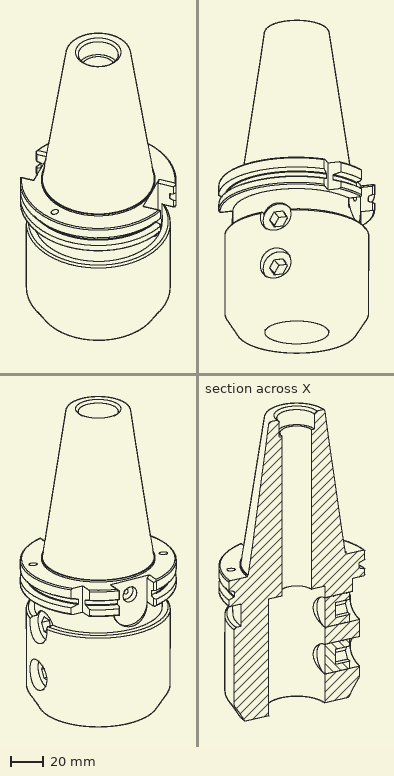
import cadquery as cq
import math


gauge_height = 100.0
taper_length = 101.6
total_height = gauge_height + taper_length

gauge_radius = 69.85 / 2
taper_ratio = 7 / 24
taper_top_radius = gauge_radius - taper_length * taper_ratio / 2
taper_top_fillet = 2.0
collar_radius = 35.5

flange_radius = 97.5 / 2
flange_top = 98.9
flange_bottom = gauge_height - 19.1
flange_chamfer = 0.8
groove_center = gauge_height - 11.1
groove_floor_radius = 44.7
groove_floor_height = 3.4
groove_floor_fillet = 0.5
groove_mouth_height = 6.2

neck_radius = 40.0
body_radius = 45.0
body_top = 66.0
body_top_chamfer = 1.3
nose_radius = 37.2
nose_cone_top = 12.5
nose_tip_fillet = 2.0
nose_cone_fillet = 3.0

shank_bore_radius = 20.0
shank_bore_depth = 80.0
coolant_bore_radius = 10.5
top_bore_radius = 12.5
top_bore_depth = 12.0
top_bore_chamfer = 1.7

slot_half_width = 12.5
slot_top_chamfer = 1.8
slot_rim_chamfer = 1.2
slot_arc_height = 80.4
left_slot_floor = 37.7
right_slot_floor = 35.3

notch_offset = 30.0

chip_hole_radius = 5.0
chip_hole_depth = 4.6
chip_center_mark_radius = 1.5
chip_center_mark_depth = 1.5

coolant_hole_radius = 2.0
coolant_hole_pitch_radius = 41.6
coolant_hole_angle = 70.0
coolant_hole_tilt = 40.0

screw_radius = 10.0
screw_heights = (30.0, 62.0)
screw_length = 18.0
screw_socket_across_flats = 10.0
screw_socket_depth = 10.0

selection_margin = 0.1


def ring_selector(radius, height):
    """Selector for a full circular edge about the Z axis at the given height."""
    reach = radius + selection_margin
    return cq.selectors.BoxSelector(
        (-reach, -reach, height - selection_margin),
        (reach, reach, height + selection_margin),
        boundingbox=True,
    )


def turned_body():
    """Solid of revolution with the taper, flange, neck and clamping body."""
    groove_floor_half = groove_floor_height / 2
    groove_mouth_half = groove_mouth_height / 2
    profile = [
        (0, 0),
        (nose_radius, 0),
        (body_radius, nose_cone_top),
        (body_radius, body_top - body_top_chamfer),
        (body_radius - body_top_chamfer, body_top),
        (neck_radius, body_top),
        (neck_radius, flange_bottom),
        (flange_radius - flange_chamfer, flange_bottom),
        (flange_radius, flange_bottom + flange_chamfer),
        (flange_radius, groove_center - groove_mouth_half),
        (groove_floor_radius, groove_center - groove_floor_half),
        (groove_floor_radius, groove_center + groove_floor_half),
        (flange_radius, groove_center + groove_mouth_half),
        (flange_radius, flange_top - flange_chamfer),
        (flange_radius - flange_chamfer, flange_top),
        (collar_radius, flange_top),
        (collar_radius, gauge_height),
        (gauge_radius, gauge_height),
        (taper_top_radius, total_height),
        (0, total_height),
    ]
    body = cq.Workplane("XZ").polyline(profile).close().revolve(360, (0, 0), (0, 1))
    body = body.faces(">Z").edges().fillet(taper_top_fillet)
    body = body.edges(ring_selector(body_radius, nose_cone_top)).fillet(nose_cone_fillet)
    for floor_edge in (groove_center - groove_floor_half, groove_center + groove_floor_half):
        body = body.edges(ring_selector(groove_floor_radius, floor_edge)).fillet(groove_floor_fillet)
    return body.faces("<Z").edges().fillet(nose_tip_fillet)


def central_bores():
    """Shank bore, coolant bore and chamfered top bore on the axis."""
    top_bore_floor = total_height - top_bore_depth
    profile = [
        (0, 0),
        (shank_bore_radius, 0),
        (shank_bore_radius, shank_bore_depth),
        (coolant_bore_radius, shank_bore_depth),
        (coolant_bore_radius, top_bore_floor),
        (top_bore_radius, top_bore_floor),
        (top_bore_radius, total_height - top_bore_chamfer),
        (top_bore_radius + top_bore_chamfer, total_height),
        (0, total_height),
    ]
    return cq.Workplane("XZ").polyline(profile).close().revolve(360, (0, 0), (0, 1))


def drive_slot(side, floor):
    """Round-ended slot with chamfered mouth; side is -1 for -X and +1 for +X."""
    slot_depth = flange_radius - floor
    flat_height = flange_top - slot_arc_height
    plane = cq.Plane((side * floor, 0, slot_arc_height), (0, side, 0), (side, 0, 0))
    slot = (
        cq.Workplane(plane)
        .moveTo(-slot_half_width, flat_height)
        .lineTo(-slot_half_width, 0)
        .threePointArc((0, -slot_half_width), (slot_half_width, 0))
        .lineTo(slot_half_width, flat_height)
        .close()
        .extrude(slot_depth)
    )
    top_chamfer = (
        cq.Workplane(plane)
        .moveTo(-slot_half_width, flat_height - slot_top_chamfer)
        .lineTo(slot_half_width, flat_height - slot_top_chamfer)
        .lineTo(slot_half_width + slot_top_chamfer, flat_height)
        .lineTo(-slot_half_width - slot_top_chamfer, flat_height)
        .close()
        .extrude(slot_depth)
    )
    wall_rim = math.sqrt(flange_radius**2 - (slot_half_width + slot_rim_chamfer) ** 2)
    rim_chamfer = (
        cq.Workplane("XY", origin=(0, 0, flange_bottom))
        .moveTo(side * (wall_rim - slot_rim_chamfer), -slot_half_width)
        .lineTo(side * wall_rim, -slot_half_width - slot_rim_chamfer)
        .lineTo(side * flange_radius, -slot_half_width - slot_rim_chamfer)
        .lineTo(side * flange_radius, slot_half_width + slot_rim_chamfer)
        .lineTo(side * wall_rim, slot_half_width + slot_rim_chamfer)
        .lineTo(side * (wall_rim - slot_rim_chamfer), slot_half_width)
        .close()
        .extrude(flange_top - flange_bottom)
    )
    return slot.union(top_chamfer).union(rim_chamfer)


def orientation_notch():
    """Square corner cut through the flange in the -X, +Y quadrant."""
    notch_size = flange_radius - notch_offset
    return (
        cq.Workplane("XY", origin=(-notch_offset, notch_offset, flange_bottom))
        .rect(-notch_size, notch_size, centered=False)
        .extrude(flange_top - flange_bottom)
    )


def chip_hole():
    """Flat-bottomed hole in the left slot floor with a conical center mark."""
    profile = [
        (0, 0),
        (chip_hole_radius, 0),
        (chip_hole_radius, chip_hole_depth),
        (chip_center_mark_radius, chip_hole_depth),
        (0, chip_hole_depth + chip_center_mark_depth),
    ]
    plane = cq.Plane((-left_slot_floor, 0, groove_center), (0, 0, 1), (0, 1, 0))
    return cq.Workplane(plane).polyline(profile).close().revolve(360, (0, 0), (0, 1))


def coolant_hole(angle):
    """Hole from the flange top, sloping inward and down into the shank bore."""
    tilt = math.radians(coolant_hole_tilt)
    direction = cq.Vector(-math.sin(tilt), 0, -math.cos(tilt))
    entry = cq.Vector(coolant_hole_pitch_radius, 0, flange_top)
    run = (coolant_hole_pitch_radius - shank_bore_radius) / math.sin(tilt)
    lead = 2 * coolant_hole_radius
    hole = cq.Solid.makeCylinder(coolant_hole_radius, run + 2 * lead, entry - direction * lead, direction)
    return cq.Workplane(hole).rotate((0, 0, 0), (0, 0, 1), angle)


def screw_hole(height):
    """Radial hole from the +Y side into the shank bore."""
    return cq.Workplane("XZ", origin=(0, 0, height)).circle(screw_radius).extrude(-body_radius)


def clamping_screw(height):
    """Set screw with a hex socket, its tip reaching the shank bore surface."""
    socket_corner_diameter = screw_socket_across_flats / math.cos(math.pi / 6)
    screw = (
        cq.Workplane("XZ", origin=(0, shank_bore_radius, height))
        .circle(screw_radius)
        .extrude(-screw_length)
    )
    socket = (
        cq.Workplane("XZ", origin=(0, shank_bore_radius + screw_length, height))
        .polygon(6, socket_corner_diameter)
        .extrude(screw_socket_depth)
    )
    return screw.cut(socket)


holder = turned_body().cut(central_bores())
holder = holder.cut(drive_slot(-1, left_slot_floor))
holder = holder.cut(drive_slot(1, right_slot_floor))
holder = holder.cut(orientation_notch())
holder = holder.cut(chip_hole())
for angle in (coolant_hole_angle, coolant_hole_angle + 180):
    holder = holder.cut(coolant_hole(angle))
for height in screw_heights:
    holder = holder.cut(screw_hole(height))

screws = [clamping_screw(height) for height in screw_heights]

result = cq.Compound.makeCompound([holder.val(), *[screw.val() for screw in screws]])